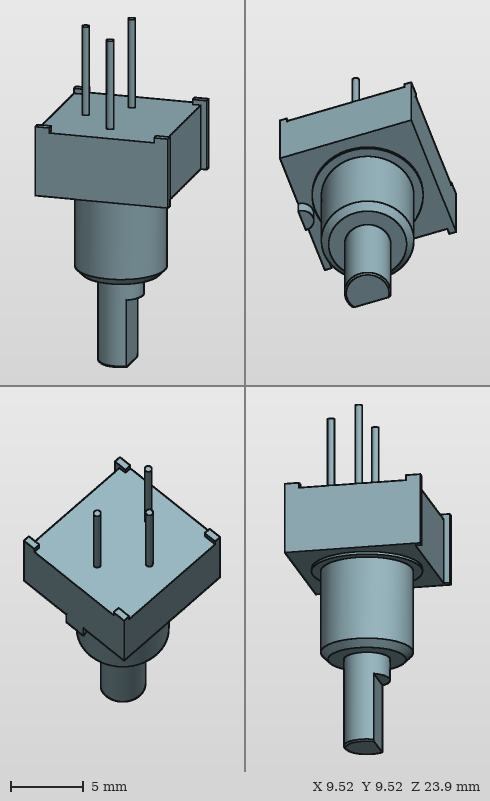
import cadquery as cq

body_side = 9.52
body_height = 4.6
body_offset_x = 0.07

foot_length = 1.0
foot_width = 0.5
foot_height = 0.35
recess_depth = 0.43

pin_diameter = 0.5
pin_length = 6.35
pin_pitch = 2.53

flange_diameter = 7.6
flange_thickness = 0.2
bushing_diameter = 6.35
bushing_length = 6.35
bushing_chamfer = 0.5

shaft_diameter = 3.17
shaft_length = 6.37
shaft_chamfer = 0.12
shaft_round_length = 1.5
flat_distance = 0.79

key_radius = 0.8
key_height = 0.95

bushing_bottom = shaft_length
flange_bottom = bushing_bottom + bushing_length
body_bottom = flange_bottom + flange_thickness
body_top = body_bottom + body_height

body_half = body_side / 2


def cylinder(diameter, height, bottom, x=0, y=0):
    """Upright cylinder standing on the given level."""
    return cq.Workplane("XY", origin=(x, y, bottom)).circle(diameter / 2).extrude(height)


def make_body():
    """Square housing with four corner feet and a recess along its +X wall."""
    body = (
        cq.Workplane("XY", origin=(body_offset_x, 0, body_bottom))
        .rect(body_side, body_side)
        .extrude(body_height)
    )
    feet = (
        cq.Workplane("XY", origin=(body_offset_x, 0, body_top))
        .rect(body_side - foot_length, body_side - foot_width, forConstruction=True)
        .vertices()
        .rect(foot_length, foot_width)
        .extrude(foot_height)
    )
    recess = (
        cq.Workplane("XY", origin=(body_offset_x + body_half, 0, body_bottom))
        .rect(2 * recess_depth, body_side - 2 * foot_width)
        .extrude(body_height)
    )
    return body.union(feet).cut(recess)


def make_key():
    """Half-round locating key under the body, flush with the +Y wall."""
    return (
        cq.Workplane("XY", origin=(0, body_half, body_bottom))
        .moveTo(-key_radius, 0)
        .threePointArc((0, -key_radius), (key_radius, 0))
        .close()
        .extrude(-key_height)
    )


def make_bushing():
    """Flange and bushing with a chamfered lower rim."""
    flange = cylinder(flange_diameter, flange_thickness, flange_bottom)
    bushing = cylinder(bushing_diameter, bushing_length, bushing_bottom)
    return flange.union(bushing.faces("<Z").chamfer(bushing_chamfer))


def make_shaft():
    """Round shaft with a flat on its +X side that stops short of the bushing."""
    shaft = cylinder(shaft_diameter, shaft_length, 0).faces("<Z").chamfer(shaft_chamfer)
    flat_cut = (
        cq.Workplane("XY", origin=(flat_distance, 0, 0))
        .rect(shaft_diameter, shaft_diameter)
        .extrude(shaft_length - shaft_round_length)
        .translate((shaft_diameter / 2, 0, 0))
    )
    return shaft.cut(flat_cut)


result = make_body().union(make_key()).union(make_bushing()).union(make_shaft())

pin_places = [(0, pin_pitch), (-pin_pitch, 0), (0, -pin_pitch)]
for pin_x, pin_y in pin_places:
    result = result.union(cylinder(pin_diameter, pin_length, body_top, pin_x, pin_y))